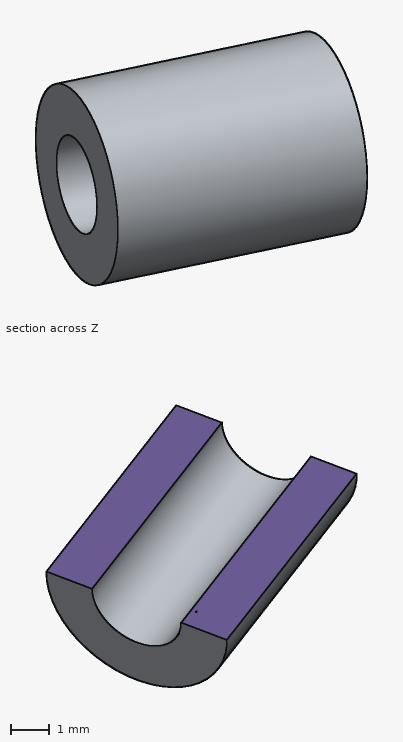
import cadquery as cq

length = 7.0
outer_diameter = 5.3
bore_diameter = 2.605

result = (
    cq.Workplane("XZ")
    .circle(outer_diameter / 2)
    .circle(bore_diameter / 2)
    .extrude(length)
)